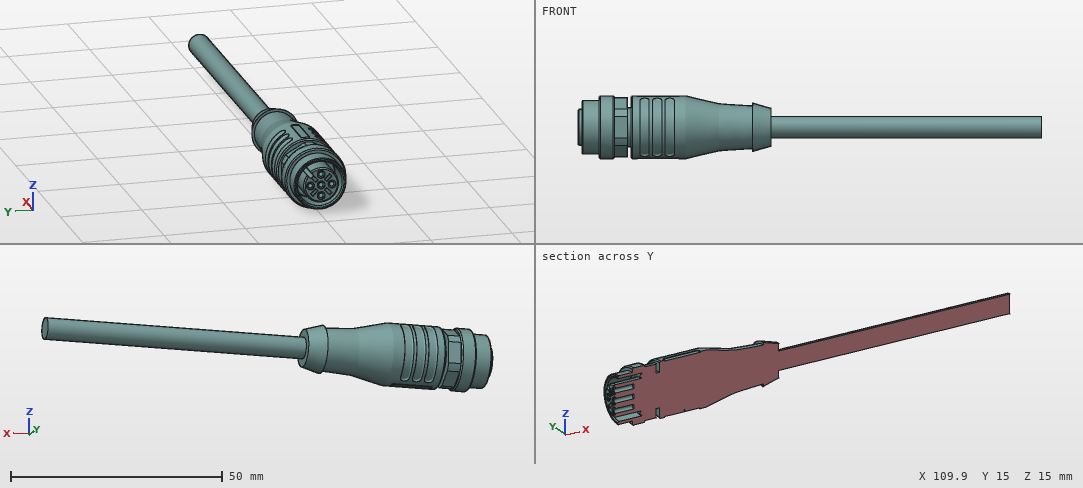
import cadquery as cq

TOTAL_LENGTH = 109.9
NUT_START = 1.0
FLANGE_START = 5.1
FLANGE_END = 8.7
HEX_END = 11.8
BODY_START = 12.6
BODY_END = 25.6
WAIST = 33.5
COLLAR_START = 41.4
COLLAR_END = 45.8

GRIP_DIAMETER = 15.0
NUT_DIAMETER = 12.7
BORE_DIAMETER = 11.0
INSERT_DIAMETER = 8.6
HEX_ACROSS_FLATS = 13.1
HEX_TURNED_DIAMETER = 14.1
NECK_DIAMETER = 9.3
WAIST_DIAMETER = 11.2
SLEEVE_END_DIAMETER = 10.2
COLLAR_DIAMETER = 11.5
COLLAR_END_DIAMETER = 9.0
CABLE_DIAMETER = 5.2

NUT_CHAMFER = 0.2
FLANGE_CHAMFER = 0.3
BORE_CHAMFER = 0.3
BORE_FLOOR = 7.7
SEAL_SECTION_DIAMETER = 1.1

INSERT_CHAMFER = 0.3
CONTACT_DIAMETER = 1.1
CONTACT_CIRCLE_RADIUS = 2.6
CONTACT_DEPTH = 5.5
CONTACT_MOUTH_DIAMETER = 1.9
CONTACT_MOUTH_DEPTH = 0.3
SPOKE_WIDTH = 0.8
SPOKE_INNER_RADIUS = 1.5
SPOKE_OUTER_RADIUS = 3.3
SPOKE_DEPTH = 0.2
KEY_WIDTH = 1.1
KEY_RADIUS = 3.5
KEY_ANGLE = 45.0

BODY_CHAMFER = 0.3
SLOT_WIDTH = 2.2
SLOT_DEPTH = 0.4
SLOT_FLOOR_FILLET = 0.3
SLOT_PITCH = 3.0
SLOT_COUNT = 3
FIRST_SLOT = 15.8
SLOT_INNER_Y = 2.9
LABEL_START = 14.1
LABEL_END = 24.0
LABEL_WIDTH = 2.0
LABEL_DEPTH = 0.2
LABEL_CORNER_RADIUS = 0.4


def rod(diameter, start, end):
    """Solid cylinder on the X axis between two stations."""
    return cq.Workplane("YZ", origin=(start, 0, 0)).circle(diameter / 2).extrude(end - start)


def make_nut():
    """Coupling nut: front sleeve, round flange and hexagon, bored from the front."""
    sleeve = rod(NUT_DIAMETER, NUT_START, FLANGE_START).faces("<X").chamfer(NUT_CHAMFER)
    flange = rod(GRIP_DIAMETER, FLANGE_START, FLANGE_END)
    flange = flange.faces("<X or >X").chamfer(FLANGE_CHAMFER)
    hexagon = (
        cq.Workplane("YZ", origin=(FLANGE_END, 0, 0))
        .polygon(6, HEX_ACROSS_FLATS, circumscribed=True)
        .extrude(HEX_END - FLANGE_END)
        .intersect(rod(HEX_TURNED_DIAMETER, FLANGE_END, HEX_END))
    )
    bore = rod(BORE_DIAMETER, NUT_START, BORE_FLOOR)
    nut = sleeve.union(flange).union(hexagon).cut(bore)
    bore_mouth = cq.selectors.RadiusNthSelector(0)
    return nut.faces("<X").edges(bore_mouth).chamfer(BORE_CHAMFER)


def make_insert():
    """Contact insert: four stepped contact holes around a central one, spoke grooves and a keyway."""
    insert = rod(INSERT_DIAMETER, 0, FLANGE_END).faces("<X").chamfer(INSERT_CHAMFER)
    mouth = rod(CONTACT_MOUTH_DIAMETER, 0, CONTACT_MOUTH_DEPTH)
    contact = rod(CONTACT_DIAMETER, 0, CONTACT_DEPTH).union(mouth)
    spoke = cq.Workplane("XY").box(
        SPOKE_DEPTH, SPOKE_OUTER_RADIUS - SPOKE_INNER_RADIUS, SPOKE_WIDTH, centered=(False, False, True)
    )
    spoke = spoke.translate((0, SPOKE_INNER_RADIUS, 0))
    outer_contact = contact.translate((0, CONTACT_CIRCLE_RADIUS, 0))
    insert = insert.cut(contact)
    for quarter in range(4):
        angle = quarter * 90
        insert = insert.cut(outer_contact.rotate((0, 0, 0), (1, 0, 0), angle))
        insert = insert.cut(spoke.rotate((0, 0, 0), (1, 0, 0), angle + KEY_ANGLE))
    keyway = (
        cq.Workplane("YZ")
        .center(KEY_RADIUS, 0)
        .circle(KEY_WIDTH / 2)
        .extrude(BORE_FLOOR)
        .union(
            cq.Workplane("YZ")
            .center(KEY_RADIUS + KEY_WIDTH / 2, 0)
            .rect(KEY_WIDTH, KEY_WIDTH)
            .extrude(BORE_FLOOR)
        )
        .rotate((0, 0, 0), (1, 0, 0), KEY_ANGLE)
    )
    return insert.cut(keyway)


def make_seal():
    """Sealing ring lying around the insert, sunk halfway into the bore floor."""
    section_radius = SEAL_SECTION_DIAMETER / 2
    ring_radius = INSERT_DIAMETER / 2 + section_radius
    return (
        cq.Workplane("XY")
        .center(BORE_FLOOR, ring_radius)
        .circle(section_radius)
        .revolve(360, (0, -ring_radius), (1, -ring_radius))
    )


def make_body():
    """Moulded grip, waisted sleeve and tapered end collar, turned as one profile."""
    grip_radius = GRIP_DIAMETER / 2
    return (
        cq.Workplane("XY")
        .moveTo(BODY_START, 0)
        .lineTo(BODY_START, grip_radius - BODY_CHAMFER)
        .lineTo(BODY_START + BODY_CHAMFER, grip_radius)
        .lineTo(BODY_END, grip_radius)
        .lineTo(WAIST, WAIST_DIAMETER / 2)
        .lineTo(COLLAR_START, SLEEVE_END_DIAMETER / 2)
        .lineTo(COLLAR_START, COLLAR_DIAMETER / 2)
        .lineTo(COLLAR_END, COLLAR_END_DIAMETER / 2)
        .lineTo(COLLAR_END, 0)
        .close()
        .revolve(360, (0, 0), (1, 0))
    )


def make_grip_slots():
    """Round-ended finger slots on both Y sides, with a floor concentric to the grip."""
    slot_length = GRIP_DIAMETER / 2 + SLOT_WIDTH
    floor = rod(GRIP_DIAMETER - 2 * SLOT_DEPTH, BODY_START, BODY_END)
    slots = cq.Workplane("XY")
    floor_side = {-1: ">Y", 1: "<Y"}
    for index in range(SLOT_COUNT):
        x = FIRST_SLOT + index * SLOT_PITCH
        for side in (-1, 1):
            slot = (
                cq.Workplane("XY")
                .center(x, side * (SLOT_INNER_Y + slot_length / 2))
                .slot2D(slot_length, SLOT_WIDTH, 90)
                .extrude(GRIP_DIAMETER / 2, both=True)
            )
            slot = slot.cut(floor).faces(floor_side[side]).edges().fillet(SLOT_FLOOR_FILLET)
            slots = slots.add(slot)
    return slots.combine()


def make_label_recess():
    """Shallow rectangular recesses on the top and bottom of the grip."""
    recess = (
        cq.Workplane("XY")
        .center((LABEL_START + LABEL_END) / 2, 0)
        .rect(LABEL_END - LABEL_START, LABEL_WIDTH)
        .extrude(GRIP_DIAMETER / 2, both=True)
        .edges("|Z")
        .fillet(LABEL_CORNER_RADIUS)
    )
    core = cq.Workplane("XY").box(TOTAL_LENGTH, GRIP_DIAMETER, GRIP_DIAMETER - 2 * LABEL_DEPTH)
    return recess.cut(core)


grip = make_body().cut(make_grip_slots()).cut(make_label_recess())
neck = rod(NECK_DIAMETER, HEX_END, BODY_START)
cable = rod(CABLE_DIAMETER, COLLAR_END, TOTAL_LENGTH)

result = make_nut().union(make_insert()).union(make_seal()).union(neck).union(grip).union(cable)